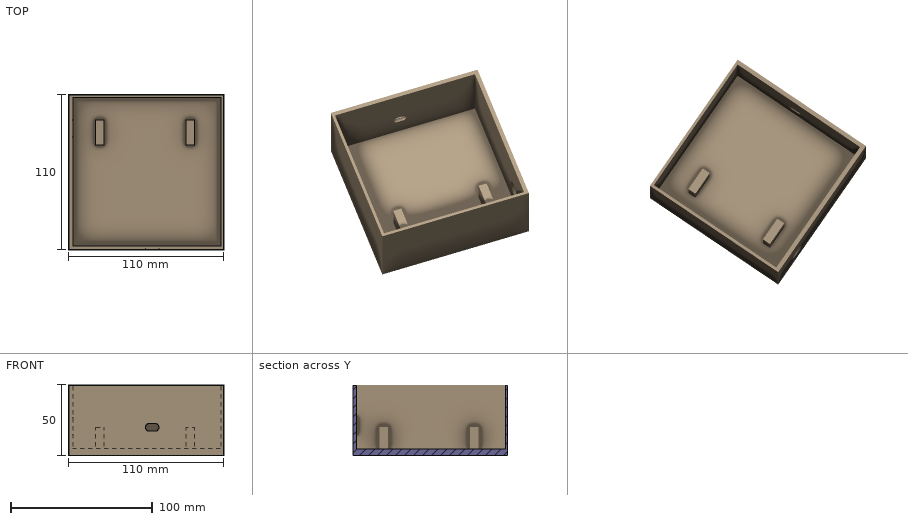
import cadquery as cq

box_side = 110.0
box_height = 50.0
floor_thickness = 5.0
cavity_side = 105.0
thick_wall = 3.0

post_width = 6.0
post_length = 18.0
post_top = 20.0
post_left_edges = (19.25, 83.25)
post_front_edge = 74.2

round_hole_diameter = 12.0
round_hole_y = 86.0
round_hole_z = 21.0

slot_length = 9.5
slot_height = 5.4
slot_x = 59.25
slot_z = 20.0


def block(size, corner):
    """Box of the given size with its lowest corner at the given point."""
    return cq.Workplane("XY").box(*size, centered=False).translate(corner)


def open_box():
    outside = block((box_side, box_side, box_height), (0, 0, 0))
    cavity = block(
        (cavity_side, cavity_side, box_height - floor_thickness),
        (thick_wall, thick_wall, floor_thickness),
    )
    return outside.cut(cavity)


def post(left_edge):
    return block((post_width, post_length, post_top), (left_edge, post_front_edge, 0))


def round_hole():
    return (
        cq.Workplane("YZ")
        .center(round_hole_y, round_hole_z)
        .circle(round_hole_diameter / 2)
        .extrude(thick_wall)
    )


def slot():
    return (
        cq.Workplane("XZ")
        .center(slot_x, slot_z)
        .slot2D(slot_length, slot_height)
        .extrude(-thick_wall)
    )


body = open_box()
for left_edge in post_left_edges:
    body = body.union(post(left_edge))

result = body.cut(round_hole()).cut(slot())